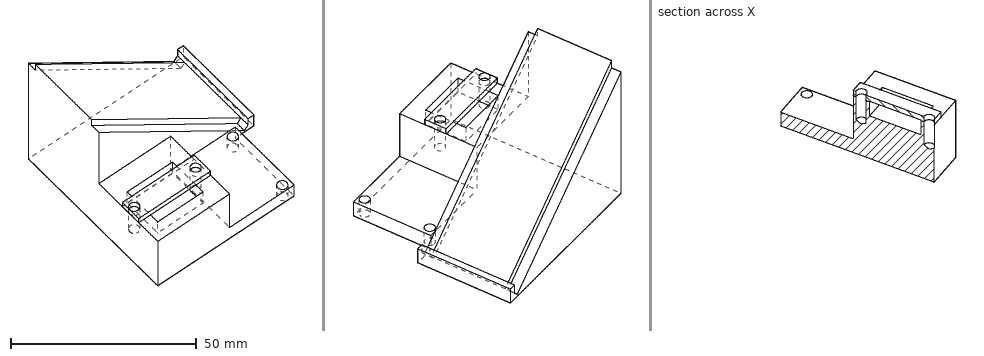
import cadquery as cq
import math

LENGTH_X = 55.0
LENGTH_Y = 54.0
HEIGHT = 46.0

DESK_WIDTH = 30.0
SLOPE_ANGLE = math.radians(40.1)
RAIL_WIDTH = 3.0
RAIL_DEPTH = 2.0
LIP_THICKNESS = 2.05
LIP_HEIGHT = 5.0

BLOCK_DEPTH = 25.0
BLOCK_HEIGHT = 20.2
PLATE_END_Y = 47.5
PLATE_THICKNESS = 5.0
SIDE_WIDTH = LENGTH_X - DESK_WIDTH

POCKET_X = 36.95
POCKET_Y = 4.1
POCKET_WIDTH = 13.0
POCKET_LENGTH = 15.8
POCKET_DEPTH = 5.0

BAR_X = 39.95
BAR_WIDTH = 7.0
BAR_THICKNESS = 1.85
BAR_TOP = BLOCK_HEIGHT + BAR_THICKNESS

HOLE_DIAMETER = 3.0
HOLE_RADIUS = HOLE_DIAMETER / 2
PLATE_HOLES = [(32.0, 45.0), (53.0, 45.0)]
SCREW_HOLES = [(43.1, 1.55), (43.45, 22.65)]
SCREW_HOLE_DEPTH = 10.0
DRILL_TIP_ANGLE = math.radians(118)
DRILL_TIP_DEPTH = HOLE_RADIUS / math.tan(DRILL_TIP_ANGLE / 2)


def box(x, y, z, width, depth, height):
    """Box placed by its lowest corner."""
    return cq.Workplane("XY").box(width, depth, height, centered=False).translate((x, y, z))


def side_prism(points, x, width):
    """Extrude an outline of (y, z) points along +X."""
    return cq.Workplane("YZ").polyline(points).close().extrude(width).translate((x, 0, 0))


def drilled_hole(x, y):
    """Blind screw hole with a conical bottom, opening at the bar top."""
    bottom = -SCREW_HOLE_DEPTH
    profile = [(0, 0), (HOLE_RADIUS, 0), (HOLE_RADIUS, bottom), (0, bottom - DRILL_TIP_DEPTH)]
    hole = cq.Workplane("XZ").polyline(profile).close().revolve(360, (0, 0), (0, 1))
    return hole.translate((x, y, BAR_TOP))


def make_desk():
    """Wedge with a stop lip, stepped down along both side rails."""
    lip_y = LENGTH_Y - LIP_THICKNESS
    foot_z = HEIGHT - lip_y * math.tan(SLOPE_ANGLE)
    outline = [
        (0, 0),
        (LENGTH_Y, 0),
        (LENGTH_Y, LIP_HEIGHT),
        (lip_y, LIP_HEIGHT),
        (lip_y, foot_z),
        (0, HEIGHT),
    ]
    desk = side_prism(outline, 0, DESK_WIDTH)

    rail_end_y = lip_y - RAIL_DEPTH * math.sin(SLOPE_ANGLE)
    rail_end_z = foot_z - RAIL_DEPTH * math.cos(SLOPE_ANGLE)
    rail_top_z = HEIGHT - RAIL_DEPTH / math.cos(SLOPE_ANGLE)
    rail_step = [(0, HEIGHT), (lip_y, foot_z), (rail_end_y, rail_end_z), (0, rail_top_z)]
    for x in (0, DESK_WIDTH - RAIL_WIDTH):
        desk = desk.cut(side_prism(rail_step, x, RAIL_WIDTH))
    return desk


def make_plate():
    """Low plate behind the block, with two through holes."""
    plate = box(DESK_WIDTH, 0, 0, SIDE_WIDTH, PLATE_END_Y, PLATE_THICKNESS)
    holes = cq.Workplane("XY").pushPoints(PLATE_HOLES).circle(HOLE_RADIUS).extrude(PLATE_THICKNESS)
    return plate.cut(holes)


def make_block():
    """Block with the open pocket in its top."""
    block = box(DESK_WIDTH, 0, 0, SIDE_WIDTH, BLOCK_DEPTH, BLOCK_HEIGHT)
    pocket_floor = BLOCK_HEIGHT - POCKET_DEPTH
    pocket = box(POCKET_X, POCKET_Y, pocket_floor, POCKET_WIDTH, POCKET_LENGTH, POCKET_DEPTH)
    return block.cut(pocket)


def cut_screw_holes(body):
    """Drill both screw holes into a body."""
    for x, y in SCREW_HOLES:
        body = body.cut(drilled_hole(x, y))
    return body


def make_housing():
    """Desk, plate and block as one solid."""
    return cut_screw_holes(make_desk().union(make_plate()).union(make_block()))


def make_bar():
    """Flat bar lying on the block across the pocket."""
    return cut_screw_holes(box(BAR_X, 0, BLOCK_HEIGHT, BAR_WIDTH, BLOCK_DEPTH, BAR_THICKNESS))


housing = make_housing()
bar = make_bar()
result = cq.Compound.makeCompound([housing.solids().val(), bar.solids().val()])